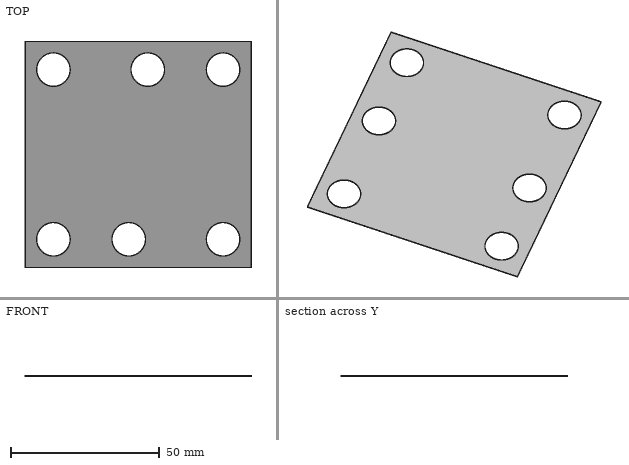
import cadquery as cq

side = 76.2
thickness = 0.25

hole_diameter = 11.2
edge_distance = 9.5
middle_hole_offset = 3.2

corner = side / 2 - edge_distance

back_row = [(x, corner) for x in (-corner, middle_hole_offset, corner)]
front_row = [(x, -corner) for x in (-corner, -middle_hole_offset, corner)]

result = (
    cq.Workplane("XY")
    .box(side, side, thickness)
    .faces(">Z")
    .workplane()
    .pushPoints(back_row + front_row)
    .hole(hole_diameter)
)